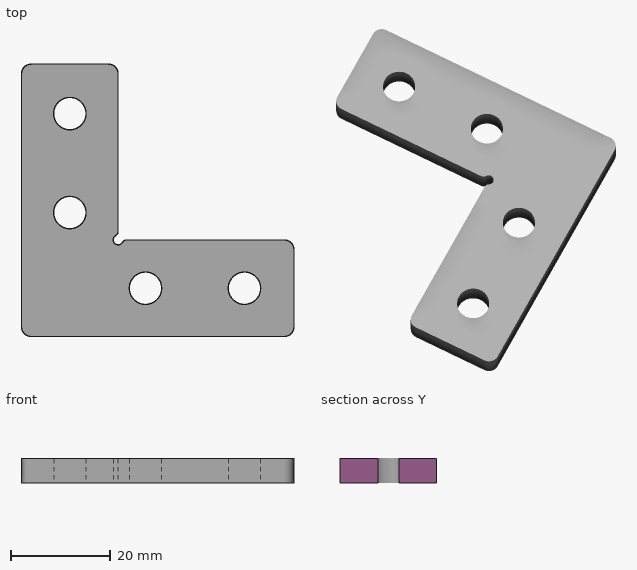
import cadquery as cq

side = 55.0
arm_width = 19.5
thickness = 5.0
corner_radius = 2.0

hole_diameter = 6.5
hole_distances = (25.0, 45.0)

relief_diameter = 2.0
relief_edge_radius = 1.0

low = -side / 2
inner = low + arm_width
hole_line = low + arm_width / 2


def near_inner_corner():
    """Select edges centred within one relief diameter of the inner corner."""
    return cq.selectors.BoxSelector(
        (inner - relief_diameter, inner - relief_diameter, 0),
        (inner + relief_diameter, inner + relief_diameter, thickness),
    )


def make_plate():
    """L-shaped plate with its five convex corners rounded."""
    outline = [
        (low, low),
        (low + side, low),
        (low + side, inner),
        (inner, inner),
        (inner, low + side),
        (low, low + side),
    ]
    plate = cq.Workplane("XY").polyline(outline).close().extrude(thickness)
    convex_edges = cq.selectors.SubtractSelector(
        cq.selectors.ParallelDirSelector(cq.Vector(0, 0, 1)), near_inner_corner()
    )
    return plate.edges(convex_edges).fillet(corner_radius)


def cut_corner_relief(plate):
    """Round relief centred on the inner corner, with softened mouth edges."""
    relief = cq.Workplane("XY").center(inner, inner).circle(relief_diameter / 2).extrude(thickness)
    return plate.cut(relief).edges("|Z").edges(near_inner_corner()).fillet(relief_edge_radius)


def cut_holes(plate):
    """Through holes, mirrored between the two arms."""
    centres = []
    for distance in hole_distances:
        centres.append((low + distance, hole_line))
        centres.append((hole_line, low + distance))
    holes = cq.Workplane("XY").pushPoints(centres).circle(hole_diameter / 2).extrude(thickness)
    return plate.cut(holes)


result = cut_holes(cut_corner_relief(make_plate()))